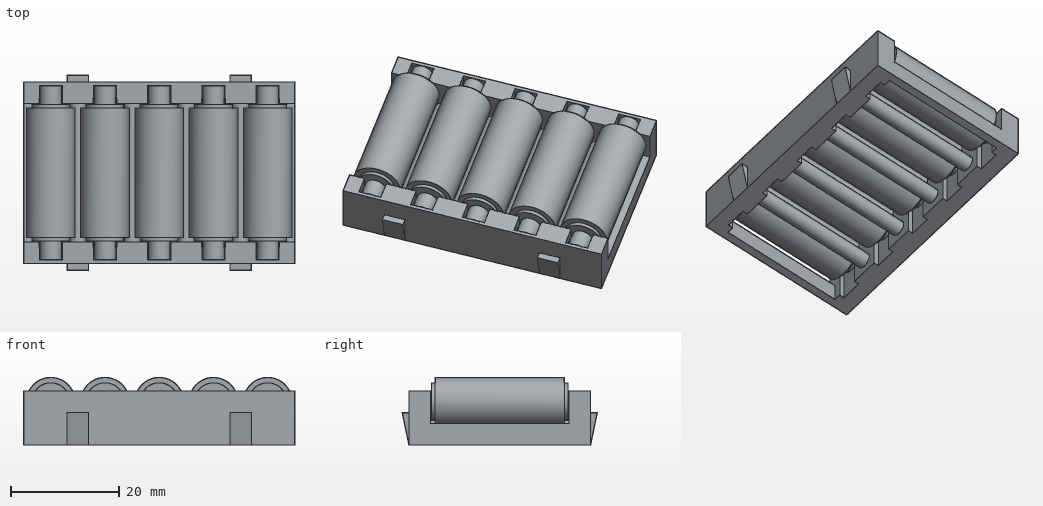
import cadquery as cq


frame_length = 50
frame_width = 33.5
frame_height = 10
wall_thickness = 4
rail_height = 4
rail_thickness = 1.5
cavity_width = frame_width - 2 * wall_thickness

roller_count = 5
pitch = frame_length / roller_count
overall_height = 12.5
roller_radius = 4.5
roller_length = 23.8
hub_radius = 3.5
hub_length = 25.2
axle_radius = 2
axle_length = 32
axle_height = overall_height - roller_radius

slot_width = 4.25
slot_end_cover = 0.65
slot_relief_depth = 1
slot_span = frame_width - 2 * slot_end_cover
relief_span = cavity_width + 2 * slot_relief_depth

crossbar_radius = 1.5
crossbar_height = 3.25

clip_width = 4
clip_height = 6
clip_overhang = 1.25
clip_offset = 15

roller_positions = [(i - (roller_count - 1) / 2) * pitch for i in range(roller_count)]
crossbar_positions = [x + pitch / 2 for x in roller_positions[:-1]]


def block(length, width, bottom, top):
    """Box centred on X and Y between two heights."""
    return (
        cq.Workplane("XY")
        .box(length, width, top - bottom, centered=(True, True, False))
        .translate((0, 0, bottom))
    )


def rod(radius, length, height):
    """Cylinder along Y, centred on Y, with its axis at the given height."""
    return cq.Workplane("XZ", origin=(0, length / 2, height)).circle(radius).extrude(length)


def make_frame():
    """Two walls joined by low end rails, open underneath the rollers."""
    frame = block(frame_length, frame_width, 0, frame_height)
    space_above_rails = block(frame_length, cavity_width, rail_height, frame_height)
    floor_opening = block(frame_length - 2 * rail_thickness, cavity_width, 0, rail_height)
    return frame.cut(space_above_rails).cut(floor_opening)


def make_slot():
    """Axle slots of one roller: a seat open to the top, with a full-height relief next to the cavity."""
    seat = block(slot_width, slot_span, axle_height, frame_height)
    relief = block(slot_width, relief_span, 0, frame_height)
    return seat.union(relief)


def make_roller():
    """Roller with stepped hubs, on an axle whose ends are set into the slot seats."""
    body = rod(roller_radius, roller_length, axle_height)
    hub = rod(hub_radius, hub_length, axle_height)
    axle = rod(axle_radius, axle_length, axle_height)
    return body.union(hub).union(axle)


def make_clip():
    """Wedge on the +Y wall that widens from the underside up to a flat top."""
    wall_face = frame_width / 2
    return (
        cq.Workplane("YZ")
        .moveTo(wall_face, 0)
        .lineTo(wall_face + clip_overhang, clip_height)
        .lineTo(wall_face, clip_height)
        .close()
        .extrude(clip_width / 2, both=True)
    )


result = make_frame()

for x in crossbar_positions:
    result = result.union(rod(crossbar_radius, cavity_width, crossbar_height).translate((x, 0, 0)))

for x in roller_positions:
    result = result.cut(make_slot().translate((x, 0, 0)))
    result = result.union(make_roller().translate((x, 0, 0)))

for x in (-clip_offset, clip_offset):
    clip = make_clip().translate((x, 0, 0))
    result = result.union(clip).union(clip.mirror("XZ"))